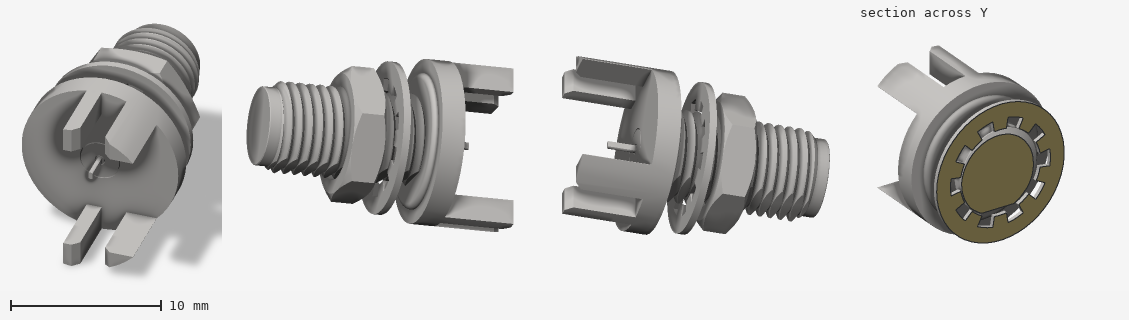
import cadquery as cq
import math


flange_radius = 5.5
flange_thickness = 1.6
boss_radius = 4.55
boss_height = 0.37
boss_fillet = 0.35

barrel_end = 12.69
tip_length = 0.82
tip_radius = 2.63
tip_chamfer = 0.05
crest_radius = 3.1
root_radius = 2.63
thread_pitch = 0.705
thread_half_angle = 30
groove_root_width = 0.079
groove_overlap = 0.05
groove_phase_y = 12.74
flat_offset = 2.65

leg_length = 4.76
leg_inner_z = 3.77
narrow_leg_left = -0.92
narrow_leg_right = 0.12
wide_leg_left = 1.87
wide_leg_right = 3.98
leg_chamfer = 0.47

ring_outer_radius = 1.41
ring_inner_radius = 1.35
ring_depth = 0.52
contact_bore_radius = 0.37
contact_radius = 0.3
tail_length = 1.9
tail_width = 0.288
tail_radius = 0.253

nut_start = 5.03
nut_thickness = 2.23
nut_across_flats = 8.03
nut_chamfer_angle = 30

washer_start = 3.68
washer_thickness = 0.49
washer_radius = 5.1
washer_bore_radius = 3.18
notch_radius = 3.96
notch_count = 10
notch_angle = 18

barrel_start = flange_thickness + boss_height
thread_end = barrel_end - tip_length


def cylinder(radius, start, end):
    """Solid cylinder on the Y axis between two Y positions."""
    return cq.Workplane("XZ", origin=(0, start, 0)).circle(radius).extrude(start - end)


def thread_groove():
    """Helical V groove with a narrow flat root, longer than the thread at both ends."""
    outer_radius = crest_radius + groove_overlap
    slope = math.tan(math.radians(thread_half_angle))
    root_half = groove_root_width / 2
    outer_half = root_half + (outer_radius - root_radius) * slope
    section = [
        (root_radius, -root_half),
        (outer_radius, -outer_half),
        (outer_radius, outer_half),
        (root_radius, root_half),
    ]
    turns = math.ceil((thread_end - barrel_start) / thread_pitch) + 2
    length = turns * thread_pitch

    rails = []
    for radius, offset in section:
        helix = cq.Wire.makeHelix(thread_pitch, length, radius)
        rails.append(helix.moved(cq.Location(cq.Vector(0, 0, offset))))
    faces = []
    for lower, upper in zip(rails, rails[1:] + rails[:1]):
        faces.extend(cq.Face.makeRuledSurface(lower, upper).Faces())
    for z in (0, length):
        corners = [cq.Vector(radius, 0, z + offset) for radius, offset in section]
        faces.append(cq.Face.makeFromWires(cq.Wire.makePolygon(corners, close=True)))
    groove = cq.Solid.makeSolid(cq.Shell.makeShell(faces))

    groove = groove.rotate(cq.Vector(), cq.Vector(1, 0, 0), -90)
    return cq.Workplane(groove.translate(cq.Vector(0, groove_phase_y - length, 0)))


def barrel():
    """Threaded barrel with a flat along its underside and a plain tip."""
    tip = cylinder(tip_radius, thread_end, barrel_end).faces(">Y").chamfer(tip_chamfer)
    blank = cylinder(crest_radius, barrel_start, thread_end)
    blank = blank.faces(">Y").chamfer(crest_radius - root_radius)
    flat_cut = (
        cq.Workplane("XY", origin=(0, 0, -flat_offset - crest_radius))
        .box(2 * crest_radius, 2 * barrel_end, crest_radius, centered=(True, True, False))
    )
    return blank.cut(thread_groove()).cut(flat_cut).union(tip)


def leg_pair(outline):
    """Upper and lower leg of one outline; their outer faces follow the flange rim."""
    plate = cq.Workplane("XY").polyline(outline).close().extrude(flange_radius, both=True)
    rim = cylinder(flange_radius, -leg_length, 0)
    gap = cq.Workplane("XY").box(3 * flange_radius, 3 * leg_length, 2 * leg_inner_z)
    return plate.intersect(rim).cut(gap)


def narrow_legs():
    """Narrow legs, chamfered at the right end corner."""
    return leg_pair([
        (narrow_leg_left, 0),
        (narrow_leg_right, 0),
        (narrow_leg_right, leg_chamfer - leg_length),
        (narrow_leg_right - leg_chamfer, -leg_length),
        (narrow_leg_left, -leg_length),
    ])


def wide_legs():
    """Wide legs, chamfered at the left end corner."""
    return leg_pair([
        (wide_leg_left, 0),
        (wide_leg_right, 0),
        (wide_leg_right, -leg_length),
        (wide_leg_left + leg_chamfer, -leg_length),
        (wide_leg_left, leg_chamfer - leg_length),
    ])


def make_housing():
    """Flange with boss, threaded barrel and four legs, bored for the contact."""
    flange = cylinder(flange_radius, 0, flange_thickness)
    boss = cylinder(boss_radius, flange_thickness, barrel_start)
    boss = boss.faces(">Y").edges().fillet(boss_fillet)
    body = flange.union(boss).union(barrel())
    body = body.union(narrow_legs()).union(wide_legs())
    ring = cylinder(ring_outer_radius, 0, ring_depth).cut(cylinder(ring_inner_radius, 0, ring_depth))
    bore = cylinder(contact_bore_radius, 0, flange_thickness)
    return body.cut(ring).cut(bore)


def make_contact():
    """Round contact seated on the floor of its bore, with a tail flattened on both sides."""
    head = cylinder(contact_radius, 0, flange_thickness)
    tail = cylinder(tail_radius, -tail_length, 0)
    slab = cq.Workplane("XY").box(tail_width, 3 * tail_length, 3 * tail_radius)
    return head.union(tail.intersect(slab))


def make_nut():
    """Hexagon nut with corners on the X axis, chamfered at both ends."""
    nut_end = nut_start + nut_thickness
    flat_radius = nut_across_flats / 2
    corner_radius = flat_radius / math.cos(math.pi / 6)
    drop = (corner_radius - flat_radius) * math.tan(math.radians(nut_chamfer_angle))
    hexagon = (
        cq.Workplane("XZ", origin=(0, nut_start, 0))
        .polygon(6, 2 * corner_radius)
        .extrude(-nut_thickness)
    )
    chamfered_blank = (
        cq.Workplane("XY")
        .polyline([
            (0, nut_start),
            (flat_radius, nut_start),
            (corner_radius, nut_start + drop),
            (corner_radius, nut_end - drop),
            (flat_radius, nut_end),
            (0, nut_end),
        ])
        .close()
        .revolve(360, (0, 0, 0), (0, 1, 0))
    )
    return hexagon.intersect(chamfered_blank).cut(cylinder(crest_radius, nut_start, nut_end))


def make_washer():
    """Flat washer with evenly spaced notches that leave teeth around its bore."""
    washer_end = washer_start + washer_thickness
    ring = cylinder(washer_radius, washer_start, washer_end)
    ring = ring.cut(cylinder(washer_bore_radius, washer_start, washer_end))
    notch_limit = cylinder(notch_radius, washer_start, washer_end)
    half = math.radians(notch_angle / 2)
    reach = 2 * notch_radius
    for i in range(notch_count):
        middle = 2 * math.pi * i / notch_count
        wedge = (
            cq.Workplane("XZ", origin=(0, washer_start, 0))
            .polyline([
                (0, 0),
                (reach * math.cos(middle - half), reach * math.sin(middle - half)),
                (reach * math.cos(middle + half), reach * math.sin(middle + half)),
            ])
            .close()
            .extrude(-washer_thickness)
        )
        ring = ring.cut(wedge.intersect(notch_limit))
    return ring


housing = make_housing()
contact = make_contact()
nut = make_nut()
washer = make_washer()

result = cq.Compound.makeCompound([housing.val(), contact.val(), nut.val(), washer.val()])